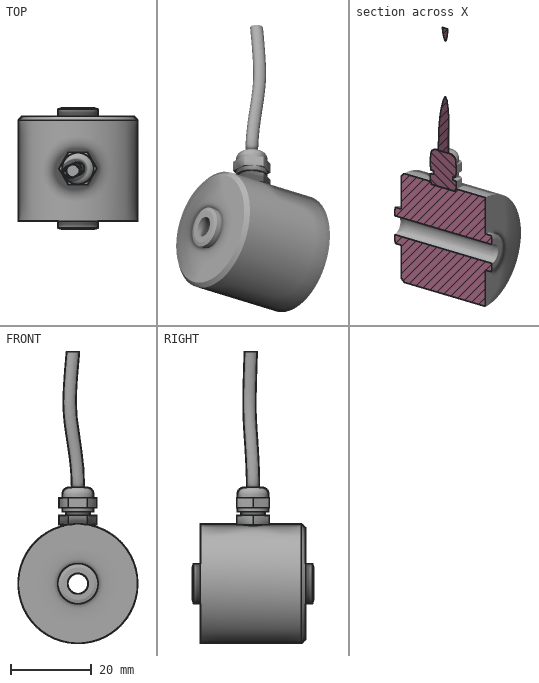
import cadquery as cq

HOUSING_DIAMETER = 29.6
HOUSING_LENGTH = 26.0
REAR_CHAMFER = 1.0
OVERALL_DEPTH = 30.0
BOSS_DIAMETER = 10.0
BOSS_FACE_DIAMETER = 8.0
BOSS_CONE_HEIGHT = 0.3
BORE_DIAMETER = 5.0

GLAND_DIAMETER = 7.8
NECK_DIAMETER = 6.0
HEX_ACROSS_CORNERS = 9.4
LOWER_NUT_HEIGHT = 2.3
NECK_HEIGHT = 0.9
COLLAR_HEIGHT = 1.0
UPPER_NUT_HEIGHT = 2.45
CAP_HEIGHT = 2.6
CAP_ROUNDING = 1.7
NUT_SINK = 0.2
FOOT_DIAMETER = 7.2
FOOT_HEIGHT = 0.5

CABLE_DIAMETER = 3.2
OVERALL_HEIGHT = 72.3

housing_radius = HOUSING_DIAMETER / 2
lower_nut_z = housing_radius - NUT_SINK
foot_z = lower_nut_z - FOOT_HEIGHT
neck_z = lower_nut_z + LOWER_NUT_HEIGHT
collar_z = neck_z + NECK_HEIGHT
upper_nut_z = collar_z + COLLAR_HEIGHT
cap_z = upper_nut_z + UPPER_NUT_HEIGHT
gland_top_z = cap_z + CAP_HEIGHT
cable_top_z = OVERALL_HEIGHT - housing_radius


def disc(bottom_z, height, diameter):
    """Upright cylinder centred on the gland axis."""
    return cq.Workplane("XY").workplane(offset=bottom_z).circle(diameter / 2).extrude(height)


def hex_nut(bottom_z, height):
    """Upright hexagon with two corners on the X direction."""
    return cq.Workplane("XY").workplane(offset=bottom_z).polygon(6, HEX_ACROSS_CORNERS).extrude(height)


def make_housing(gland):
    """Half profile revolved about Y, with a seat recessed to fit the gland."""
    front_y = -HOUSING_LENGTH / 2
    rear_y = HOUSING_LENGTH / 2
    boss_end_y = OVERALL_DEPTH / 2
    cone_start_y = boss_end_y - BOSS_CONE_HEIGHT
    bore_radius = BORE_DIAMETER / 2
    boss_radius = BOSS_DIAMETER / 2
    boss_face_radius = BOSS_FACE_DIAMETER / 2
    profile = [
        (bore_radius, -boss_end_y),
        (boss_face_radius, -boss_end_y),
        (boss_radius, -cone_start_y),
        (boss_radius, front_y),
        (housing_radius, front_y),
        (housing_radius, rear_y - REAR_CHAMFER),
        (housing_radius - REAR_CHAMFER, rear_y),
        (boss_radius, rear_y),
        (boss_radius, cone_start_y),
        (boss_face_radius, boss_end_y),
        (bore_radius, boss_end_y),
    ]
    drum = cq.Workplane("XY").polyline(profile).close().revolve(360, (0, 0, 0), (0, 1, 0))
    return drum.cut(gland)


def make_gland():
    """Foot in the housing seat, two nuts, a neck, a collar and a rounded cap."""
    cap = disc(cap_z, CAP_HEIGHT, GLAND_DIAMETER).faces(">Z").edges().fillet(CAP_ROUNDING)
    return (
        disc(foot_z, FOOT_HEIGHT, FOOT_DIAMETER)
        .union(hex_nut(lower_nut_z, LOWER_NUT_HEIGHT))
        .union(disc(neck_z, NECK_HEIGHT, NECK_DIAMETER))
        .union(disc(collar_z, COLLAR_HEIGHT, GLAND_DIAMETER))
        .union(hex_nut(upper_nut_z, UPPER_NUT_HEIGHT))
        .union(cap)
    )


def make_cable():
    """Round cable swept along a gentle bend and trimmed level at the top."""
    trim_allowance = 0.7
    bend_points = [
        (0, 0, gland_top_z),
        (-1.0, -0.4, 34.9),
        (-2.0, -0.9, 43.35),
        (-1.9, -0.8, 49.5),
        (-1.15, -0.5, cable_top_z + trim_allowance),
    ]
    start_direction = (0, 0, 1)
    end_direction = (0.1, 0.04, 1)
    path = cq.Workplane("XY").spline(bend_points, tangents=[start_direction, end_direction])
    section = cq.Workplane("XY").workplane(offset=gland_top_z).circle(CABLE_DIAMETER / 2)
    trim_width = HOUSING_DIAMETER
    trim = (
        cq.Workplane("XY")
        .workplane(offset=cable_top_z)
        .rect(trim_width, trim_width)
        .extrude(2 * trim_allowance)
    )
    return section.sweep(path).cut(trim)


gland = make_gland().solids()
housing = make_housing(gland).solids()
cable = make_cable().solids()

result = cq.Compound.makeCompound([housing.val(), gland.val(), cable.val()])